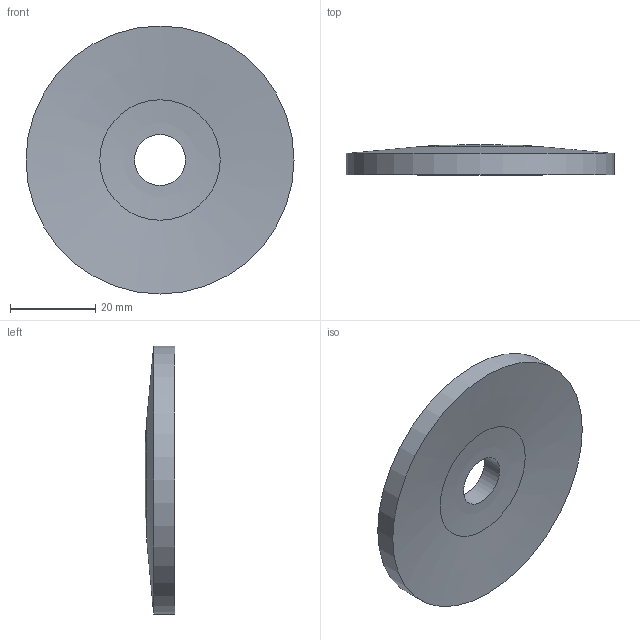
import cadquery as cq
import math

outer_radius = 63.0 / 2
hole_radius = 12.0 / 2
blend_radius = 14.15
thickness = 5.0
overall_height = 7.0

dish_rise = overall_height - thickness
cone_width = outer_radius - blend_radius
crown_width = blend_radius - hole_radius
half_cone_angle = math.atan(dish_rise / (2 * cone_width + crown_width))
crown_rise = crown_width * math.tan(half_cone_angle)
crown_arc_radius = crown_width / math.sin(2 * half_cone_angle)


def dished_face(rim_y):
    """Rim, blend, arc middle and hole-edge points of a dished face starting at rim_y."""
    hole_edge_y = rim_y + dish_rise
    middle_drop = crown_arc_radius * (1 - math.cos(half_cone_angle))
    rim = (outer_radius, rim_y)
    blend = (blend_radius, hole_edge_y - crown_rise)
    middle = (hole_radius + crown_arc_radius * math.sin(half_cone_angle), hole_edge_y - middle_drop)
    hole_edge = (hole_radius, hole_edge_y)
    return rim, blend, middle, hole_edge


def make_washer():
    """Revolve the wall between the hollow (-Y) face and the crowned (+Y) face."""
    hollow_rim, hollow_blend, hollow_middle, hollow_edge = dished_face(0)
    crown_rim, crown_blend, crown_middle, crown_edge = dished_face(thickness)
    profile = (
        cq.Workplane("XY")
        .moveTo(*hollow_rim)
        .lineTo(*hollow_blend)
        .threePointArc(hollow_middle, hollow_edge)
        .lineTo(*crown_edge)
        .threePointArc(crown_middle, crown_blend)
        .lineTo(*crown_rim)
        .close()
    )
    return profile.revolve(360, (0, 0, 0), (0, 1, 0))


result = make_washer()